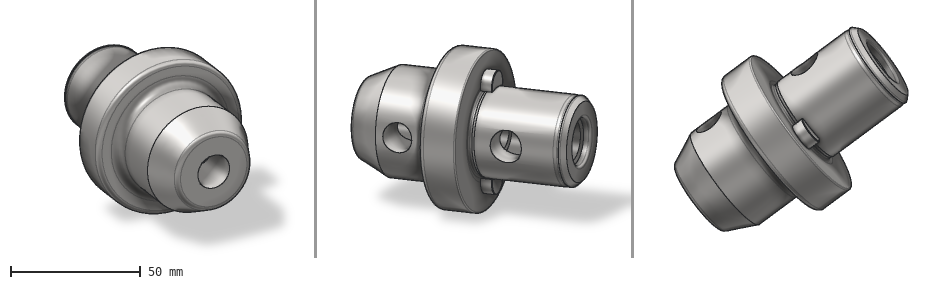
import cadquery as cq
import math


TOTAL_LENGTH = 90.0
FLANGE_FRONT_X = 40.0
FLANGE_REAR_X = 55.0
NOSE_CONE_X = 77.0

SPIGOT_RADIUS = 18.0
FLANGE_RADIUS = 64.0 / 2
BODY_RADIUS = 22.05

FLANGE_FRONT_FILLET = 0.5
FLANGE_REAR_FILLET = 2.0
BODY_FILLET = 4.0

NOSE_ANGLE = math.radians(25.0)
NOSE_FILLET = 2.25

SPIGOT_CHAMFER = 2.2
LIP_FILLET = 0.9
GROOVE_START_X = 2.7
GROOVE_END_X = 3.3
LEAD_IN_END_X = 4.7
GROOVE_DEPTH = 0.3

UNDERCUT_START_X = 37.6
UNDERCUT_TAPER_END_X = 38.7
UNDERCUT_DEPTH = 0.4
UNDERCUT_CORNER_RADIUS = 0.6
UNDERCUT_FACE_DEPTH = 0.3
UNDERCUT_FACE_RADIUS = 19.8

MOUTH_EDGE_RADIUS = 10.5
MOUTH_FILLET = 1.1
COUNTERBORE_DEPTH = 3.15
FRONT_BORE_RADIUS = 8.1
FRONT_BORE_END_X = 32.4
BORE_RADIUS = 6.9
STEP_ANGLE = math.radians(60.0)

SPIGOT_HOLE_X = 24.4
SPIGOT_HOLE_RADIUS = 6.5
BODY_HOLE_X = 67.95
BODY_HOLE_RADIUS = 6.0

KEY_RADIUS = 5.6
KEY_OFFSET = 19.3
KEY_LENGTH = 4.9
KEY_CHAMFER = 0.3
KEY_SEAT_RADIUS = 18.3


def make_turned_blank():
    """Solid of revolution of the spigot, flange, body and nose."""
    groove_radius = SPIGOT_RADIUS - GROOVE_DEPTH
    undercut_radius = SPIGOT_RADIUS - UNDERCUT_DEPTH
    undercut_wall_x = FLANGE_FRONT_X + UNDERCUT_FACE_DEPTH

    lip_tangent_length = LIP_FILLET * math.tan(math.pi / 8)
    lip_start_x = SPIGOT_CHAMFER - lip_tangent_length * math.cos(math.pi / 4)

    corner_radius = BODY_RADIUS - (TOTAL_LENGTH - NOSE_CONE_X) * math.tan(NOSE_ANGLE)
    tangent_length = NOSE_FILLET * math.tan((math.pi / 2 - NOSE_ANGLE) / 2)
    cone_end_x = TOTAL_LENGTH - tangent_length * math.cos(NOSE_ANGLE)
    cone_end_radius = corner_radius + tangent_length * math.sin(NOSE_ANGLE)

    profile = (
        cq.Workplane("XY")
        .moveTo(0, 0)
        .lineTo(0, SPIGOT_RADIUS - SPIGOT_CHAMFER)
        .lineTo(lip_start_x, SPIGOT_RADIUS - SPIGOT_CHAMFER + lip_start_x)
        .tangentArcPoint((SPIGOT_CHAMFER + lip_tangent_length, SPIGOT_RADIUS), relative=False)
        .lineTo(GROOVE_START_X, groove_radius)
        .lineTo(GROOVE_END_X, groove_radius)
        .lineTo(LEAD_IN_END_X, SPIGOT_RADIUS)
        .lineTo(UNDERCUT_START_X, SPIGOT_RADIUS)
        .lineTo(UNDERCUT_TAPER_END_X, undercut_radius)
        .lineTo(undercut_wall_x - UNDERCUT_CORNER_RADIUS, undercut_radius)
        .tangentArcPoint((UNDERCUT_CORNER_RADIUS, UNDERCUT_CORNER_RADIUS))
        .lineTo(FLANGE_FRONT_X, UNDERCUT_FACE_RADIUS)
        .lineTo(FLANGE_FRONT_X, FLANGE_RADIUS - FLANGE_FRONT_FILLET)
        .tangentArcPoint((FLANGE_FRONT_FILLET, FLANGE_FRONT_FILLET))
        .lineTo(FLANGE_REAR_X - FLANGE_REAR_FILLET, FLANGE_RADIUS)
        .tangentArcPoint((FLANGE_REAR_FILLET, -FLANGE_REAR_FILLET))
        .lineTo(FLANGE_REAR_X, BODY_RADIUS + BODY_FILLET)
        .tangentArcPoint((BODY_FILLET, -BODY_FILLET))
        .lineTo(NOSE_CONE_X, BODY_RADIUS)
        .lineTo(cone_end_x, cone_end_radius)
        .tangentArcPoint((TOTAL_LENGTH, corner_radius - tangent_length), relative=False)
        .lineTo(TOTAL_LENGTH, 0)
        .close()
    )
    return profile.revolve(360, (0, 0, 0), (1, 0, 0))


def make_bore():
    """Cutter for the stepped through bore and its rounded mouth."""
    counterbore_radius = MOUTH_EDGE_RADIUS - MOUTH_FILLET
    first_step_length = (counterbore_radius - FRONT_BORE_RADIUS) / math.tan(STEP_ANGLE)
    second_step_length = (FRONT_BORE_RADIUS - BORE_RADIUS) / math.tan(STEP_ANGLE)
    profile = (
        cq.Workplane("XY")
        .moveTo(0, 0)
        .lineTo(0, MOUTH_EDGE_RADIUS)
        .radiusArc((MOUTH_FILLET, counterbore_radius), -MOUTH_FILLET)
        .lineTo(COUNTERBORE_DEPTH, counterbore_radius)
        .lineTo(COUNTERBORE_DEPTH + first_step_length, FRONT_BORE_RADIUS)
        .lineTo(FRONT_BORE_END_X, FRONT_BORE_RADIUS)
        .lineTo(FRONT_BORE_END_X + second_step_length, BORE_RADIUS)
        .lineTo(TOTAL_LENGTH, BORE_RADIUS)
        .lineTo(TOTAL_LENGTH, 0)
        .close()
    )
    return profile.revolve(360, (0, 0, 0), (1, 0, 0))


def make_cross_hole(x, radius):
    """Cutter from the bore axis out through the +Y side."""
    return cq.Workplane("XZ").center(x, 0).circle(radius).extrude(-FLANGE_RADIUS)


def make_housing():
    housing = make_turned_blank().cut(make_bore())
    for x, radius in ((SPIGOT_HOLE_X, SPIGOT_HOLE_RADIUS), (BODY_HOLE_X, BODY_HOLE_RADIUS)):
        housing = housing.cut(make_cross_hole(x, radius))
    return housing


def make_key(side):
    """Round key on the flange face, hollowed to clear the spigot; side is +1 (top) or -1 (bottom)."""
    key = (
        cq.Workplane("YZ", origin=(FLANGE_FRONT_X - KEY_LENGTH, 0, side * KEY_OFFSET))
        .circle(KEY_RADIUS)
        .extrude(KEY_LENGTH)
        .faces("<X")
        .chamfer(KEY_CHAMFER)
    )
    seat = cq.Workplane("YZ").circle(KEY_SEAT_RADIUS).extrude(FLANGE_FRONT_X)
    return key.cut(seat)


housing = make_housing()
keys = [make_key(side) for side in (1, -1)]

result = cq.Compound.makeCompound([housing.val(), *[key.val() for key in keys]])